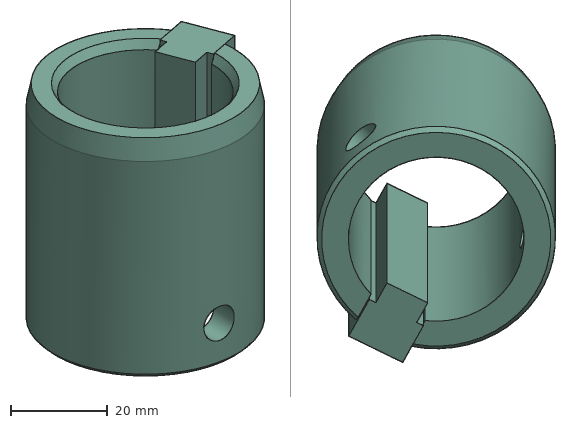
import cadquery as cq

top_z = 57.15
sleeve_bottom_z = 1.2
outer_diameter = 49.2
outer_radius = outer_diameter / 2
bore_radius = 18.1

top_taper_height = 5.05
top_taper_depth = 1.05
bottom_chamfer = 1.0
bore_chamfer_height = 2.0
bore_chamfer_depth = 1.25

hole_diameter = 8.0
hole_z = 11.2
hole_angle = 22.5

key_width = 12.6
key_stem_width = 9.5
overall_depth = 51.55
key_outer_y = overall_depth - outer_radius
key_shoulder_y = 17.8
key_tip_y = 12.85


def make_sleeve_blank():
    """Revolve the wall section, with its tapered and chamfered edges."""
    profile = [
        (bore_radius, sleeve_bottom_z),
        (outer_radius - bottom_chamfer, sleeve_bottom_z),
        (outer_radius, sleeve_bottom_z + bottom_chamfer),
        (outer_radius, top_z - top_taper_height),
        (outer_radius - top_taper_depth, top_z),
        (bore_radius + bore_chamfer_depth, top_z),
        (bore_radius, top_z - bore_chamfer_height),
    ]
    return cq.Workplane("XZ").polyline(profile).close().revolve(360, (0, 0), (0, 1))


def make_key_slot():
    """Cutter that opens the wall on the +Y side over the full height."""
    return cq.Workplane("XY").box(key_width, key_outer_y, top_z, centered=(True, False, False))


def make_radial_hole(angle):
    """Cutter from the axis outward through one wall, at an angle from +X about Z."""
    return (
        cq.Workplane("YZ", origin=(0, 0, hole_z))
        .circle(hole_diameter / 2)
        .extrude(key_outer_y)
        .rotate((0, 0, 0), (0, 0, 1), angle)
    )


def make_sleeve():
    """Slotted sleeve with two radial holes."""
    sleeve = make_sleeve_blank().cut(make_key_slot())
    for angle in (-hole_angle, 180 + hole_angle):
        sleeve = sleeve.cut(make_radial_hole(angle))
    return sleeve


def make_key():
    """T-section key: a wide head in the slot and a narrow stem into the bore."""
    half_head = key_width / 2
    half_stem = key_stem_width / 2
    outline = [
        (-half_head, key_outer_y),
        (half_head, key_outer_y),
        (half_head, key_shoulder_y),
        (half_stem, key_shoulder_y),
        (half_stem, key_tip_y),
        (-half_stem, key_tip_y),
        (-half_stem, key_shoulder_y),
        (-half_head, key_shoulder_y),
    ]
    return cq.Workplane("XY").polyline(outline).close().extrude(top_z)


sleeve = make_sleeve()
key = make_key()

result = cq.Compound.makeCompound([sleeve.val(), key.val()])